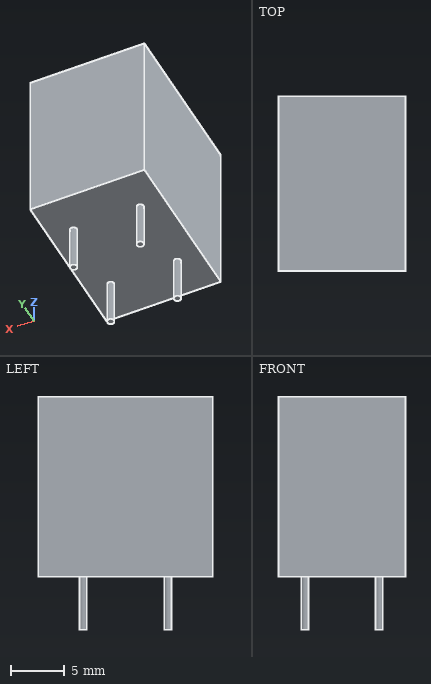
import cadquery as cq

body_width = 12.0
body_depth = 16.5
total_height = 22.0
pin_length = 5.0
body_height = total_height - pin_length

pin_diameter = 0.7
pin_spacing_x = 7.0
pin_spacing_y = 8.0

body = cq.Workplane("XY").box(
    body_width, body_depth, body_height, centered=(True, True, False)
)

pins = (
    cq.Workplane("XY")
    .rarray(pin_spacing_x, pin_spacing_y, 2, 2)
    .circle(pin_diameter / 2)
    .extrude(-pin_length)
)

result = body.union(pins)